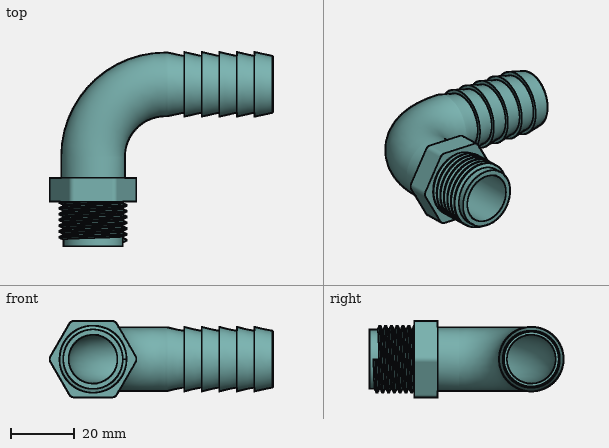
import cadquery as cq
import math


bore_radius = 7.65
tube_radius = 10.0
bend_radius = 22.6
elbow_end_x = 23.25
outlet_axis_y = 50.7
bend_start_y = outlet_axis_y - bend_radius

hex_across_flats = 24.0
hex_corner_radius = 1.8
hex_bottom_y = 14.0
hex_height = 7.4
hex_top_y = hex_bottom_y + hex_height

thread_root_radius = 9.3
thread_crest_radius = 10.5
thread_length = 12.7
thread_turns = 7
thread_pitch = thread_length / thread_turns
thread_start_y = 1.95
thread_base_width = 1.55
thread_crest_width = 0.35
thread_root_overlap = 0.15

barb_count = 5
first_barb_x = 28.5
last_barb_x = 50.5
barb_pitch = (last_barb_x - first_barb_x) / (barb_count - 1)
barb_tip_radius = 10.15
barb_root_radius = 9.0
barb_groove_width = 0.35
outlet_end_x = 56.45
outlet_edge_chamfer = 0.4


def make_pipe(radius, start_y, end_x):
    """Solid rod following the inlet axis, the bend and the outlet axis."""
    path = (
        cq.Workplane("XY")
        .moveTo(0, start_y)
        .lineTo(0, bend_start_y)
        .radiusArc((bend_radius, outlet_axis_y), bend_radius)
        .lineTo(end_x, outlet_axis_y)
    )
    return cq.Workplane("XZ", origin=(0, start_y, 0)).circle(radius).sweep(path)


def make_hexagon():
    """Spanner hexagon with rounded corners, one pair of corners along X."""
    across_corners = hex_across_flats / math.cos(math.radians(30))
    return (
        cq.Workplane("XZ", origin=(0, hex_bottom_y, 0))
        .polygon(6, across_corners)
        .extrude(-hex_height)
        .edges("|Y")
        .fillet(hex_corner_radius)
    )


def make_thread():
    """Helical ridge, right-handed, running from near the inlet end into the hexagon."""
    inner_radius = thread_root_radius - thread_root_overlap
    helix = cq.Wire.makeHelix(thread_pitch, thread_length, inner_radius)
    ridge = (
        cq.Workplane("XZ")
        .polyline([
            (inner_radius, -thread_base_width / 2),
            (thread_crest_radius, -thread_crest_width / 2),
            (thread_crest_radius, thread_crest_width / 2),
            (inner_radius, thread_base_width / 2),
        ])
        .close()
        .sweep(cq.Workplane(helix), isFrenet=True)
    )
    return ridge.rotate((0, 0, 0), (1, 0, 0), -90).translate((0, thread_start_y, 0))


def make_hose_tail():
    """Revolved row of barbs, each tapering towards the outlet end."""
    axis_y = outlet_axis_y
    profile = cq.Workplane("XY").moveTo(elbow_end_x, axis_y).lineTo(elbow_end_x, axis_y + tube_radius)
    for index in range(barb_count):
        barb_x = first_barb_x + index * barb_pitch
        profile = (
            profile.lineTo(barb_x - barb_groove_width, axis_y + barb_root_radius)
            .lineTo(barb_x, axis_y + barb_root_radius)
            .lineTo(barb_x, axis_y + barb_tip_radius)
        )
    return (
        profile.lineTo(outlet_end_x - outlet_edge_chamfer, axis_y + barb_root_radius)
        .lineTo(outlet_end_x, axis_y + barb_root_radius - outlet_edge_chamfer)
        .lineTo(outlet_end_x, axis_y)
        .close()
        .revolve(360, (0, axis_y, 0), (1, axis_y, 0))
    )


inlet = cq.Workplane("XZ").circle(thread_root_radius).extrude(-hex_top_y)
elbow = make_pipe(tube_radius, hex_bottom_y, elbow_end_x)
bore = make_pipe(bore_radius, 0, outlet_end_x)

result = (
    inlet.union(make_thread())
    .union(make_hexagon())
    .union(elbow)
    .union(make_hose_tail())
    .cut(bore)
)